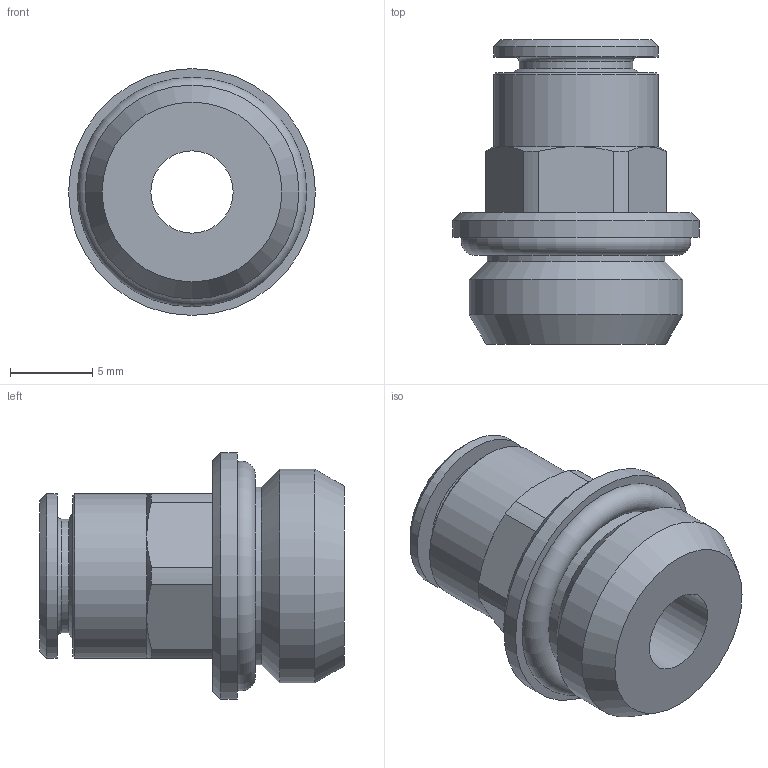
import cadquery as cq
import math


bore_dia = 5.0

plug_end_y = -6.5
head_dia = 13.0
head_nose_length = 1.8
head_nose_angle = 30.0
neck_dia = 10.8
neck_start_y = -1.47

o_ring_outer_dia = 13.95
o_ring_section_dia = 1.7
o_ring_projection = 1.1

flange_dia = 15.0
flange_thickness = 1.5
flange_chamfer = 0.5

hex_across_flats = 10.0
hex_corner_dia = 11.0
hex_length = 4.0
hex_turn = 30.0
hex_chamfer_angle = 30.0

sleeve_dia = 10.0
sleeve_length = 4.5
sleeve_chamfer = 0.12

ring_dia = 10.0
ring_end_y = 12.0
ring_thickness = 1.05
ring_chamfer = 0.43
ring_neck_dia = 6.9
ring_neck_fillet = 0.3
ring_flare_height = 0.25
ring_flare_angle = 30.0

hex_start_y = flange_thickness
hex_end_y = hex_start_y + hex_length
sleeve_end_y = hex_end_y + sleeve_length
ring_back_y = ring_end_y - ring_thickness


def revolve_about_y(profile):
    """Turn a closed profile, drawn with X as radius, about the Y axis."""
    return profile.close().revolve(360, (0, 0, 0), (0, 1, 0))


def make_plug():
    """Plug head with a conical nose and a 45 degree back, and the plain neck."""
    head_radius = head_dia / 2
    neck_radius = neck_dia / 2
    nose_radius = head_radius - head_nose_length * math.tan(math.radians(head_nose_angle))
    back_height = head_radius - neck_radius
    profile = (
        cq.Workplane("XY")
        .moveTo(0, plug_end_y)
        .lineTo(nose_radius, plug_end_y)
        .lineTo(head_radius, plug_end_y + head_nose_length)
        .lineTo(head_radius, neck_start_y - back_height)
        .lineTo(neck_radius, neck_start_y)
        .lineTo(neck_radius, 0)
        .lineTo(0, 0)
    )
    return revolve_about_y(profile)


def make_o_ring():
    """Exposed part of the round section, cut off flat at the flange face."""
    section_radius = o_ring_section_dia / 2
    centre_radius = o_ring_outer_dia / 2 - section_radius
    centre_y = section_radius - o_ring_projection
    half_contact_width = math.sqrt(section_radius**2 - centre_y**2)
    profile = (
        cq.Workplane("XY")
        .moveTo(centre_radius + half_contact_width, 0)
        .threePointArc(
            (centre_radius, -o_ring_projection),
            (centre_radius - half_contact_width, 0),
        )
    )
    return revolve_about_y(profile)


def make_flange():
    flange_radius = flange_dia / 2
    profile = (
        cq.Workplane("XY")
        .lineTo(flange_radius, 0)
        .lineTo(flange_radius, flange_thickness - flange_chamfer)
        .lineTo(flange_radius - flange_chamfer, flange_thickness)
        .lineTo(0, flange_thickness)
    )
    return revolve_about_y(profile)


def make_hexagon():
    """Hexagonal prism with flats facing +Z and -Z, trimmed by a chamfered round blank."""
    flat_radius = hex_across_flats / 2
    corner_radius = hex_corner_dia / 2
    chamfer_height = (corner_radius - flat_radius) * math.tan(math.radians(hex_chamfer_angle))
    blank = revolve_about_y(
        cq.Workplane("XY")
        .moveTo(0, hex_start_y)
        .lineTo(corner_radius, hex_start_y)
        .lineTo(corner_radius, hex_end_y - chamfer_height)
        .lineTo(flat_radius, hex_end_y)
        .lineTo(0, hex_end_y)
    )
    prism = (
        cq.Workplane("XZ", origin=(0, hex_start_y, 0))
        .polygon(6, hex_across_flats, circumscribed=True)
        .extrude(-hex_length)
        .rotate((0, 0, 0), (0, 1, 0), hex_turn)
    )
    return blank.intersect(prism)


def make_sleeve():
    sleeve_radius = sleeve_dia / 2
    profile = (
        cq.Workplane("XY")
        .moveTo(0, hex_end_y)
        .lineTo(sleeve_radius, hex_end_y)
        .lineTo(sleeve_radius, sleeve_end_y - sleeve_chamfer)
        .lineTo(sleeve_radius - sleeve_chamfer, sleeve_end_y)
        .lineTo(0, sleeve_end_y)
    )
    return revolve_about_y(profile)


def make_release_ring():
    """Chamfered ring on a necked stem that flares out where it enters the sleeve."""
    ring_radius = ring_dia / 2
    stem_radius = ring_neck_dia / 2
    flare_radius = stem_radius + ring_flare_height / math.tan(math.radians(ring_flare_angle))
    profile = (
        cq.Workplane("XY")
        .moveTo(0, sleeve_end_y)
        .lineTo(flare_radius, sleeve_end_y)
        .lineTo(stem_radius, sleeve_end_y + ring_flare_height)
        .lineTo(stem_radius, ring_back_y - ring_neck_fillet)
        .radiusArc((stem_radius + ring_neck_fillet, ring_back_y), ring_neck_fillet)
        .lineTo(ring_radius, ring_back_y)
        .lineTo(ring_radius, ring_end_y - ring_chamfer)
        .lineTo(ring_radius - ring_chamfer, ring_end_y)
        .lineTo(0, ring_end_y)
    )
    return revolve_about_y(profile)


def make_bore():
    """Through bore along the whole axis."""
    return (
        cq.Workplane("XZ", origin=(0, plug_end_y, 0))
        .circle(bore_dia / 2)
        .extrude(-(ring_end_y - plug_end_y))
    )


body = make_plug()
for section in (make_o_ring(), make_flange(), make_hexagon(), make_sleeve(), make_release_ring()):
    body = body.union(section)

result = body.cut(make_bore())